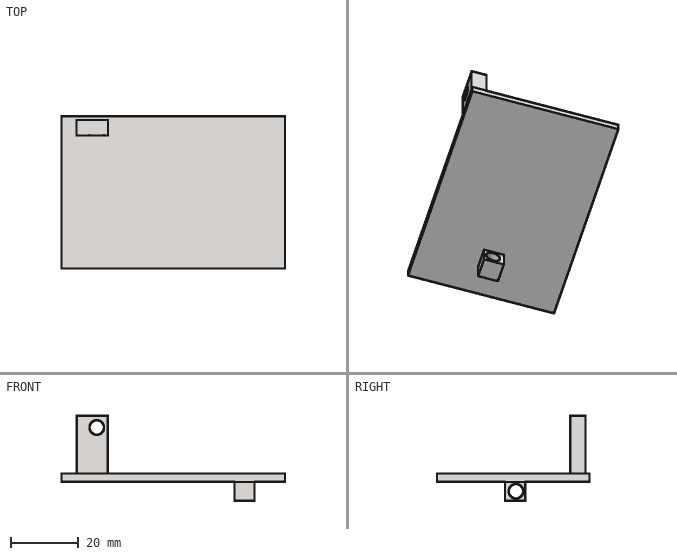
import cadquery as cq

PLATE_LENGTH = 66.0
PLATE_WIDTH = 45.0
PLATE_THICKNESS = 2.5

HOLE_DIAMETER = 4.2

POST_LENGTH = 9.25
POST_DEPTH = 4.6
POST_HEIGHT = 17.05
POST_LEFT_MARGIN = 4.5
POST_BACK_MARGIN = 1.1
POST_HOLE_FROM_RIGHT = 3.3
POST_HOLE_FROM_TOP = 3.5

LUG_LENGTH = 6.0
LUG_WIDTH = 6.1
LUG_HEIGHT = 5.6
LUG_LEFT = 51.05
LUG_BACK_MARGIN = 18.95
LUG_HOLE_FROM_BACK = 2.8
LUG_HOLE_FROM_BOTTOM = 2.85

POST_FRONT = PLATE_WIDTH - POST_BACK_MARGIN - POST_DEPTH
POST_HOLE_X = POST_LEFT_MARGIN + POST_LENGTH - POST_HOLE_FROM_RIGHT
POST_HOLE_Z = PLATE_THICKNESS + POST_HEIGHT - POST_HOLE_FROM_TOP
LUG_BACK = PLATE_WIDTH - LUG_BACK_MARGIN
LUG_FRONT = LUG_BACK - LUG_WIDTH
LUG_HOLE_Y = LUG_BACK - LUG_HOLE_FROM_BACK
LUG_HOLE_Z = LUG_HOLE_FROM_BOTTOM - LUG_HEIGHT


def block(length, width, height, corner):
    """Box whose lowest-coordinate corner is at the given point."""
    return cq.Workplane("XY").box(length, width, height, centered=False).translate(corner)


def cross_hole(start, direction, length):
    """Round cutter running from a start point along a direction."""
    cutter = cq.Solid.makeCylinder(
        HOLE_DIAMETER / 2, length, cq.Vector(*start), cq.Vector(*direction)
    )
    return cq.Workplane("XY").newObject([cutter])


def make_base():
    """Plate with the lug, which is drilled through along X."""
    plate = block(PLATE_LENGTH, PLATE_WIDTH, PLATE_THICKNESS, (0, 0, 0))
    lug = block(LUG_LENGTH, LUG_WIDTH, LUG_HEIGHT, (LUG_LEFT, LUG_FRONT, -LUG_HEIGHT))
    hole = cross_hole((LUG_LEFT, LUG_HOLE_Y, LUG_HOLE_Z), (1, 0, 0), LUG_LENGTH)
    return plate.union(lug.cut(hole))


def make_post():
    """Upright post resting on the plate, drilled through along Y."""
    corner = (POST_LEFT_MARGIN, POST_FRONT, PLATE_THICKNESS)
    post = block(POST_LENGTH, POST_DEPTH, POST_HEIGHT, corner)
    hole = cross_hole((POST_HOLE_X, POST_FRONT, POST_HOLE_Z), (0, 1, 0), POST_DEPTH)
    return post.cut(hole)


base = make_base()
post = make_post()

result = cq.Compound.makeCompound([base.solids().val(), post.solids().val()])